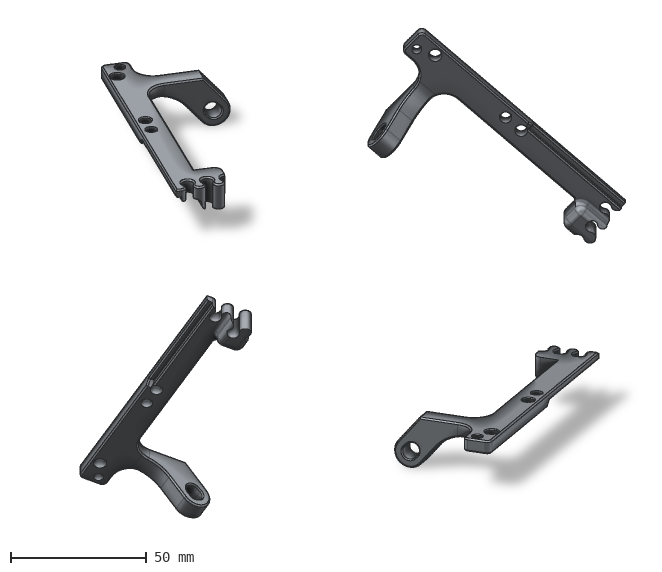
import cadquery as cq
import math

length = 102.4
depth = 44.0
height = 20.4
bar_width = 11.0
bar_thickness = 5.2
edge_chamfer = 0.6
corner_radius = 2.0

arm_left = 13.3
arm_width = 7.6
arm_right = arm_left + arm_width
arm_web_radius = 7.7
arm_bend_y = 33.8
arm_under_radius = 15.4
eye_radius = 6.0
eye_y = depth - eye_radius
eye_z = eye_radius - height
slot_radius = 2.8
slot_travel = 1.6
slot_angle = 45.0
slot_chamfer = 0.5

relief_start = 56.2
relief_ledge_z = -3.1
relief_depth = 2.3

head_left = 88.9
head_front = 9.9
head_back = 20.7
head_height = 10.2
head_corner_radius = 3.1
head_bottom_radius = 3.0
head_root_radius = 1.9
root_gusset = 1.5

finger_count = 3
last_finger_y = 2.2
comb_pitch = (head_back - last_finger_y) / (finger_count - 0.5)
comb_step = 2.5
comb_radius = math.hypot(comb_step, comb_pitch / 2) / 2
finger_x = length - comb_radius
notch_x = finger_x - comb_step

bar_holes = [
    (3.6, 6.6, 3.6, 0.36),
    (10.2, 3.7, 4.9, 0.4),
    (46.2, 4.3, 4.4, 0.4),
    (54.0, 4.3, 4.6, 0),
]

tolerance = 0.001
far = 2 * length


def on_circle(center, radius, degrees):
    angle = math.radians(degrees)
    return (center[0] + radius * math.cos(angle), center[1] + radius * math.sin(angle))


def plan_prism():
    """Plan outline of bar and arm, with rounded corners and web radii."""
    outline = (
        cq.Workplane("XY")
        .polyline([
            (0, 0), (length, 0), (length, bar_width), (arm_right, bar_width),
            (arm_right, far), (arm_left, far), (arm_left, bar_width), (0, bar_width),
        ])
        .close()
        .extrude(-far)
    )
    end_corners = cq.selectors.BoxSelector((-1, -1, -far), (1, bar_width + 1, 1))
    arm_roots = cq.selectors.BoxSelector(
        (arm_left - 1, bar_width - 1, -far), (arm_right + 1, bar_width + 1, 1)
    )
    outline = outline.edges("|Z").edges(end_corners).fillet(corner_radius)
    return outline.edges("|Z").edges(arm_roots).fillet(arm_web_radius)


def side_prism():
    """Cross profile of bar and cranked arm, swept along X."""
    eye = (eye_y, eye_z)
    reach = math.hypot(eye_y - arm_bend_y, eye_z)
    slope = math.atan2(-eye_z, eye_y - arm_bend_y) - math.asin(eye_radius / reach)
    slope_degrees = math.degrees(slope)
    upper_tangent = on_circle(eye, eye_radius, 90 - slope_degrees)
    eye_tip = on_circle(eye, eye_radius, -slope_degrees)
    lower_tangent = on_circle(eye, eye_radius, 270 - slope_degrees)

    corner_y = lower_tangent[0] - (-bar_thickness - lower_tangent[1]) / math.tan(slope)
    blend_end_y = corner_y - arm_under_radius * math.tan(slope / 2)
    blend_center = (blend_end_y, -bar_thickness - arm_under_radius)
    blend_start = on_circle(blend_center, arm_under_radius, 90 - slope_degrees)
    blend_mid = on_circle(blend_center, arm_under_radius, 90 - slope_degrees / 2)

    return (
        cq.Workplane("YZ")
        .moveTo(0, 0)
        .lineTo(arm_bend_y, 0)
        .lineTo(*upper_tangent)
        .threePointArc(eye_tip, lower_tangent)
        .lineTo(*blend_start)
        .threePointArc(blend_mid, (blend_end_y, -bar_thickness))
        .lineTo(0, -bar_thickness)
        .close()
        .extrude(length)
    )


def front_relief():
    """Step under the front edge with a 45 degree run-in."""
    run_in = far + relief_ledge_z
    return (
        cq.Workplane("XZ")
        .polyline([
            (relief_start, relief_ledge_z), (far, relief_ledge_z), (far, -far),
            (relief_start - run_in, -far),
        ])
        .close()
        .extrude(-relief_depth)
    )


def rim_edges(bar):
    """Edges bounding the upright walls, apart from upright edges and the relief's inner corner."""
    rim = set()
    for wall in bar.faces().vals():
        upright_wall = abs(wall.normalAt().z) < tolerance
        comb_end = wall.Center().x > length - tolerance
        if comb_end or not upright_wall:
            continue
        for edge in wall.Edges():
            middle = edge.Center()
            upright_edge = abs(edge.tangentAt(0).z) > 1 - tolerance
            at_relief_wall = abs(middle.y - relief_depth) < tolerance
            above_bottom = middle.z > tolerance - bar_thickness
            if not upright_edge and not (at_relief_wall and above_bottom):
                rim.add(edge)
    return list(rim)


def chamfered_bar():
    """Bar and arm with their upright walls chamfered above and below."""
    bar = plan_prism().intersect(side_prism()).cut(front_relief())
    return bar.newObject(rim_edges(bar)).chamfer(edge_chamfer)


def block(x, y, z):
    """Box given by its (low, high) limits on each axis."""
    return (
        cq.Workplane("XY")
        .box(x[1] - x[0], y[1] - y[0], z[1] - z[0], centered=False)
        .translate((x[0], y[0], z[0]))
    )


def head_slab():
    """Part of the head level with the bar."""
    slab = block((head_left, length), (bar_width - edge_chamfer, head_back), (-bar_thickness, 0))
    return slab.edges("|Z and <X and >Y").fillet(head_corner_radius)


def head_boss():
    """Rounded lower part of the head, with a concave root where it meets the bar."""
    boss = block((head_left, length), (head_front, head_back), (-head_height, 0))
    boss = boss.edges("|Z and <X").fillet(head_corner_radius)
    boss = boss.faces("<Z").edges("not >X").fillet(head_bottom_radius)

    root_left = head_left - head_root_radius
    root_front = head_front - head_root_radius
    sheet = block((0, length), (0, head_back), (-bar_thickness, edge_chamfer - bar_thickness))
    base_line = cq.selectors.BoxSelector(
        (head_left - tolerance, head_front - tolerance, -bar_thickness - tolerance),
        (length - tolerance, head_back - tolerance, -bar_thickness + tolerance),
    )
    rooted = sheet.union(boss).edges(base_line).fillet(head_root_radius)
    trim = (
        cq.Workplane("XY")
        .polyline([
            (root_left, root_front), (length, root_front), (length, head_back),
            (head_left + head_corner_radius, head_back),
            (head_left, head_back - head_corner_radius),
            (head_left, bar_width + root_gusset), (root_left, bar_width),
        ])
        .close()
        .extrude(far, both=True)
    )
    return boss.union(rooted.intersect(trim))


def comb_gap():
    """Everything beyond the wavy end of the comb."""
    gap = (
        cq.Workplane("XY")
        .moveTo(far, far)
        .lineTo(notch_x - comb_radius, far)
        .lineTo(notch_x - comb_radius, head_back)
    )
    for index in range(finger_count):
        notch_y = head_back - index * comb_pitch
        finger_y = notch_y - comb_pitch / 2
        into_finger = ((notch_x + finger_x) / 2, notch_y - comb_pitch / 4)
        out_of_finger = (into_finger[0], finger_y - comb_pitch / 4)
        notch_arc_angle = 210 if index == 0 else 180
        notch_arc_point = on_circle((notch_x, notch_y), comb_radius, notch_arc_angle)
        gap = gap.threePointArc(notch_arc_point, into_finger)
        if index < finger_count - 1:
            gap = gap.threePointArc((length, finger_y), out_of_finger)
        else:
            shoulder = on_circle((finger_x, finger_y), comb_radius, 45)
            gap = gap.threePointArc(shoulder, (length, finger_y))
    return gap.lineTo(far, last_finger_y).close().extrude(far, both=True)


def comb_rim(part):
    """Top edges along the wavy end."""
    end_top = cq.selectors.BoxSelector(
        (notch_x - comb_radius - tolerance, edge_chamfer, -tolerance),
        (length + tolerance, head_back - tolerance, tolerance),
    )
    return part.edges(end_top)


def bar_hole(x, y, diameter, chamfer):
    """Through-hole cutter with a countersunk top."""
    radius = diameter / 2
    cutter = cq.Workplane("XY").center(x, y).circle(radius).extrude(-far)
    if chamfer:
        top = cq.Vector(x, y, 0)
        down = cq.Vector(0, 0, -1)
        sink = cq.Solid.makeCone(radius + chamfer, radius, chamfer, top, down)
        cutter = cutter.union(cq.Workplane(sink))
    return cutter


def eye_slot():
    """Slot across the arm, chamfered on both sides."""
    center_y, center_z = on_circle((eye_y, eye_z), slot_travel / 2, 180 - slot_angle)

    def slot(start, radius):
        return (
            cq.Workplane("YZ", origin=(start, center_y, center_z))
            .transformed(rotate=(0, 0, 180 - slot_angle))
            .slot2D(slot_travel + 2 * radius, 2 * radius)
        )

    through = slot(arm_left, slot_radius).extrude(arm_width)
    left_sink = slot(arm_left, slot_radius + slot_chamfer).extrude(slot_chamfer, taper=45)
    right_sink = slot(arm_right, slot_radius + slot_chamfer).extrude(-slot_chamfer, taper=45)
    return through.union(left_sink).union(right_sink)


result = chamfered_bar().union(head_slab()).union(head_boss()).cut(comb_gap())
result = comb_rim(result).chamfer(edge_chamfer)
for hole in bar_holes:
    result = result.cut(bar_hole(*hole))
result = result.cut(eye_slot())